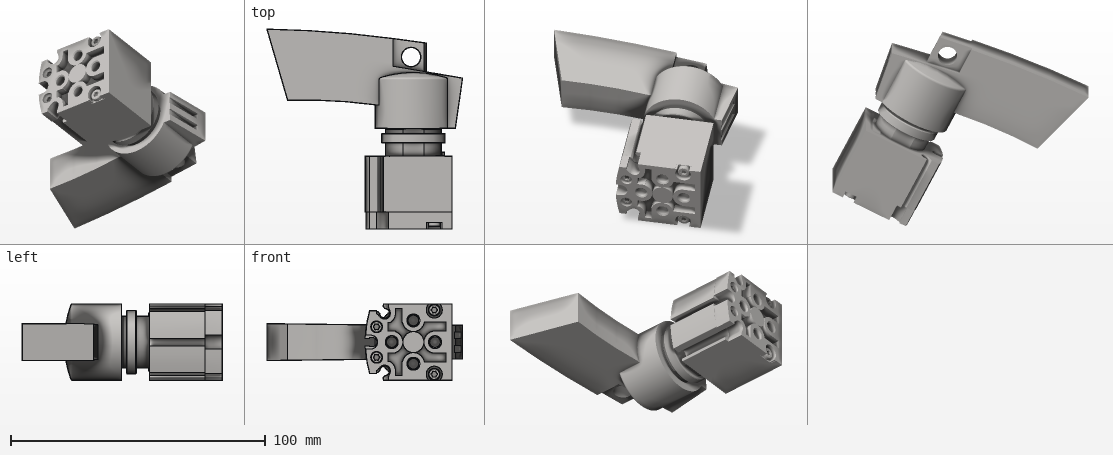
import cadquery as cq
import math


HALF_HEIGHT = 15.05
BLOCK_RIGHT = 15.17
CAP_DEPTH = 6.75
HOUSING_TOP = 28.65
LEVER_BASE = 39.55
GROOVE_CENTRE = 11.3
DIAGONAL = math.sqrt(0.5)

HOUSING_LEFT = -19.0
HOUSING_CORNER = (-17.2, 12.0)
HOUSING_GROOVE_RADIUS = 3.75 / 2
HOUSING_SLOT_HALF_WIDTH = 1.41
LIP_CORNER_X = -11.65
LIP_TIP = (-12.0, 14.1)
LIP_INNER = (-11.5, 13.5)
KEY_MOUTH_HALF_WIDTH = 1.5
KEY_RADIUS = 1.77
KEY_STEP_X = -17.2
KEY_CENTRE_X = -16.0

STOP_PLATE_LEFT = 8.9
STOP_PLATE_HALF_LENGTH = 11.4
STOP_PLATE_THICKNESS = 0.3
STOP_LEFT = 11.2
STOP_RIGHT = 12.3
STOP_HEIGHT = 1.6
STOP_HALF_WIDTH = 1.0

CAP_LEFT = -18.75
CAP_CORNER = (-17.2, 12.4)
CAP_LIP_TIP = (-9.87, 14.0)
CAP_LIP_INNER = (-9.2, 12.1)
CAP_GROOVE_RADIUS = 4.5 / 2
CAP_GROOVE_EDGE_X = -14.4
CAP_KEY_RADIUS = 2.72
CAP_KEY_CENTRE_X = -16.75

PORT_OFFSET = 8.5
PORT_DIAMETER = 4.2
PORT_CHAMFER = 0.45
BOSS_RADIUS = 4.37
HUB_RADIUS = 4.13
POCKET_DEPTH = 3.75
POCKET_GROOVE_WALL = 4.25
POCKET_LEFT = -10.0
POCKET_RIGHT = 12.9
POCKET_INNER_Z = 4.35
POCKET_OUTER_Z = 7.9
POCKET_LEFT_OUTER_Z = 7.6
POCKET_ARM_LEFT = -7.05
POCKET_ARM_RIGHT = -4.45
POCKET_ARM_TOP = 13.1

LEFT_SCREW = (-14.45, 6.0)
RIGHT_SCREW = (8.2, 12.6)
SCREW_HEAD_DIAMETER = 4.6
SCREW_SINK = 1.0
SCREW_HEAD_CHAMFER = 0.23
SOCKET_RADIUS = 1.05
SOCKET_LOBES = 6
SOCKET_LOBE_RADIUS = 0.25
SOCKET_DEPTH = 1.0
HEAD_CLEARANCE_RADIUS = 3.15
HEAD_CLEARANCE_DEPTH = 2.7
HEAD_SLOT_HALF_WIDTH = 2.4
HEAD_RELIEF_HALF_WIDTH = 3.1
HEAD_RELIEF_DEPTH = 0.1

NECK_RADIUS = 11.0
NECK_HALF_FLATS = 10.2
NECK_SHOULDER = 39.5
NECK_CHAMFER = 0.4
RING_DIAMETER = 25.0
RING_BOTTOM = 33.75
RING_TOP = 37.65
RING_CHAMFER = 0.3
SPIGOT_DIAMETER = 20.92
SPIGOT_LENGTH = 6.0

BARREL_EDGE = 59.3
BARREL_DOME_TOP = 62.1
BARREL_ROUNDING = 0.9
BARREL_BORE_DIAMETER = 23.6
BARREL_BORE_DEPTH = 2.0

ARM_TIP_TOP = (-57.55, 78.6)
ARM_TOP_MIDDLE = (-31.2, 77.35)
ARM_TIP_BOTTOM = (-49.4, 50.55)
ARM_UNDERSIDE_MIDDLE = (-32.3, 50.4)
ARM_ROOT_BOTTOM = (-15.0, 48.8)
ARM_STEP_X = -8.0
ARM_STEP_TOP = 74.9
ARM_TIP_HALF_THICKNESS = 7.29
ARM_ROOT_HALF_THICKNESS = 6.7

TAIL_STEP_TOP = 64.0
TAIL_TIP_TOP = (19.35, 59.35)
TAIL_TIP_BOTTOM = (16.5, LEVER_BASE)
TAIL_SLOT_LEFT = 16.1
TAIL_SLOT_RIGHT = 18.7
TAIL_SLOT_INNER = 1.4
TAIL_SLOT_OUTER = 4.0
TAIL_SLOT_TOP = 55.35

TAB_TOP_RIGHT_Y = 73.1
TAB_ROOT_Y = 55.0
TAB_HALF_THICKNESS = 4.3
TAB_UPPER_X = 4.2
TAB_LOWER_X = 5.2
TAB_DRAFT_DEPTH = 7.6
TAB_HOLE_CENTRE = (-0.9, 67.6)
TAB_HOLE_DIAMETER = 7.5


def plane_at(y):
    """Workplane square to Y: local axes are X and Z, positive extrusion is toward -Y."""
    return cq.Workplane("XZ", origin=(0, y, 0))


def cylinder(y0, y1, diameter, centre=(0, 0)):
    return plane_at(y0).center(*centre).circle(diameter / 2).extrude(y0 - y1)


def block(x0, x1, y0, y1, z0, z1):
    return cq.Workplane("XY").box(x1 - x0, y1 - y0, z1 - z0, centered=False).translate((x0, y0, z0))


def both_sides(solid):
    """The solid together with its mirror image below z = 0."""
    return solid.union(solid.mirror("XY"))


def symmetric_plate(upper, left_x, y0, y1):
    """Plate whose upper outline runs from right to left and closes with a bowed left side."""
    lower = [(x, -z) for x, z in reversed(upper)]
    outline = plane_at(y0).polyline(upper).threePointArc((left_x, 0), lower[0])
    for point in lower[1:]:
        outline = outline.lineTo(*point)
    return outline.close().extrude(y0 - y1)


def groove_wall(offset):
    """Point beside the groove centre, at the given offset square to the 45 degree slot."""
    shift = offset * DIAGONAL
    return (-GROOVE_CENTRE + shift, GROOVE_CENTRE + shift)


def corner_groove(radius, y0, y1):
    return both_sides(cylinder(y0, y1, 2 * radius, (-GROOVE_CENTRE, GROOVE_CENTRE)))


def housing_keyway():
    """Side groove with a narrow mouth and a round bottom."""
    mouth = block(HOUSING_LEFT, KEY_STEP_X, CAP_DEPTH, HOUSING_TOP,
                  -KEY_MOUTH_HALF_WIDTH, KEY_MOUTH_HALF_WIDTH)
    channel = block(KEY_STEP_X, KEY_CENTRE_X, CAP_DEPTH, HOUSING_TOP, -KEY_RADIUS, KEY_RADIUS)
    bottom = cylinder(CAP_DEPTH, HOUSING_TOP, 2 * KEY_RADIUS, (KEY_CENTRE_X, 0))
    return mouth.union(channel).union(bottom)


def make_housing():
    slot_sum = -2 * HOUSING_SLOT_HALF_WIDTH * DIAGONAL
    corner_x, corner_z = HOUSING_CORNER
    upper = [
        (BLOCK_RIGHT, HALF_HEIGHT),
        (LIP_CORNER_X, HALF_HEIGHT),
        LIP_TIP,
        LIP_INNER,
        groove_wall(HOUSING_SLOT_HALF_WIDTH),
        groove_wall(-HOUSING_SLOT_HALF_WIDTH),
        (slot_sum - corner_z, corner_z),
        (corner_x, corner_z),
    ]
    body = symmetric_plate(upper, HOUSING_LEFT, CAP_DEPTH, HOUSING_TOP)
    body = body.cut(corner_groove(HOUSING_GROOVE_RADIUS, CAP_DEPTH, HOUSING_TOP))
    body = body.cut(housing_keyway())
    plate = block(STOP_PLATE_LEFT, STOP_RIGHT, HOUSING_TOP, HOUSING_TOP + STOP_PLATE_THICKNESS,
                  -STOP_PLATE_HALF_LENGTH, STOP_PLATE_HALF_LENGTH)
    stop = block(STOP_LEFT, STOP_RIGHT, HOUSING_TOP, HOUSING_TOP + STOP_HEIGHT,
                 -STOP_HALF_WIDTH, STOP_HALF_WIDTH)
    return body.union(plate.union(stop).cut(neck_barrel()))


def cap_pockets():
    """The four front pockets, left clear of the port bosses, the hub and the corner grooves."""
    rounded_corner = (
        block(POCKET_LEFT, POCKET_ARM_LEFT, 0, POCKET_DEPTH, POCKET_LEFT_OUTER_Z, GROOVE_CENTRE)
        .cut(cylinder(0, POCKET_DEPTH, 2 * POCKET_GROOVE_WALL, (-GROOVE_CENTRE, GROOVE_CENTRE)))
    )
    left = (
        block(POCKET_LEFT, 0, 0, POCKET_DEPTH, POCKET_INNER_Z, POCKET_LEFT_OUTER_Z)
        .union(block(POCKET_ARM_LEFT, POCKET_ARM_RIGHT, 0, POCKET_DEPTH, 0, POCKET_ARM_TOP))
        .union(block(POCKET_ARM_LEFT, 0, 0, POCKET_DEPTH, 0, POCKET_LEFT_OUTER_Z))
        .union(rounded_corner)
    )
    right = (
        block(0, POCKET_RIGHT, 0, POCKET_DEPTH, POCKET_INNER_Z, POCKET_OUTER_Z)
        .union(block(0, PORT_OFFSET, 0, POCKET_DEPTH, 0, POCKET_INNER_Z))
    )
    pockets = left.union(right)
    pockets = pockets.cut(cylinder(0, POCKET_DEPTH, 2 * HUB_RADIUS))
    for centre in port_centres():
        pockets = pockets.cut(cylinder(0, POCKET_DEPTH, 2 * BOSS_RADIUS, centre))
    return both_sides(pockets)


def port_centres():
    return [(PORT_OFFSET, 0), (0, PORT_OFFSET), (-PORT_OFFSET, 0), (0, -PORT_OFFSET)]


def port(centre):
    hole = cylinder(0, CAP_DEPTH, PORT_DIAMETER, centre)
    mouth_radius = PORT_DIAMETER / 2 + PORT_CHAMFER
    mouth = cq.Solid.makeCone(
        mouth_radius, PORT_DIAMETER / 2, PORT_CHAMFER, cq.Vector(centre[0], 0, centre[1]), cq.Vector(0, 1, 0)
    )
    return hole.union(cq.Workplane(mouth))


def screw_socket(centre):
    """Six-lobed driver socket below the sunk screw face."""
    bottom = SCREW_SINK + SOCKET_DEPTH
    socket = cylinder(SCREW_SINK, bottom, 2 * SOCKET_RADIUS, centre)
    for index in range(SOCKET_LOBES):
        angle = 2 * math.pi * index / SOCKET_LOBES
        lobe_centre = (
            centre[0] + SOCKET_RADIUS * math.cos(angle),
            centre[1] + SOCKET_RADIUS * math.sin(angle),
        )
        socket = socket.union(cylinder(SCREW_SINK, bottom, 2 * SOCKET_LOBE_RADIUS, lobe_centre))
    return socket


def left_screw_recess():
    sink = cylinder(0, SCREW_SINK, SCREW_HEAD_DIAMETER, LEFT_SCREW).faces(">Y").chamfer(SCREW_HEAD_CHAMFER)
    return sink.union(screw_socket(LEFT_SCREW))


def right_screw_recess():
    """Round clearance around a screw head, open through the top of the cap."""
    x, z = RIGHT_SCREW
    clearance = cylinder(0, HEAD_CLEARANCE_DEPTH, 2 * HEAD_CLEARANCE_RADIUS, RIGHT_SCREW)
    slot = block(x - HEAD_SLOT_HALF_WIDTH, x + HEAD_SLOT_HALF_WIDTH, 0, HEAD_CLEARANCE_DEPTH, z, HALF_HEIGHT)
    relief = block(x - HEAD_RELIEF_HALF_WIDTH, x + HEAD_RELIEF_HALF_WIDTH, 0, HEAD_CLEARANCE_DEPTH,
                   HALF_HEIGHT - HEAD_RELIEF_DEPTH, HALF_HEIGHT)
    head = cylinder(SCREW_SINK, HEAD_CLEARANCE_DEPTH, SCREW_HEAD_DIAMETER, RIGHT_SCREW)
    head = head.faces("<Y").chamfer(SCREW_HEAD_CHAMFER)
    return clearance.union(slot).union(relief).cut(head).union(screw_socket(RIGHT_SCREW))


def make_cap():
    slot_sum = -2 * CAP_GROOVE_RADIUS * DIAGONAL
    upper = [
        (BLOCK_RIGHT, HALF_HEIGHT),
        (CAP_LIP_TIP[0], HALF_HEIGHT),
        CAP_LIP_TIP,
        CAP_LIP_INNER,
        (-GROOVE_CENTRE, GROOVE_CENTRE),
        groove_wall(-CAP_GROOVE_RADIUS),
        (CAP_GROOVE_EDGE_X, slot_sum - CAP_GROOVE_EDGE_X),
        (CAP_GROOVE_EDGE_X, CAP_CORNER[1]),
        CAP_CORNER,
    ]
    cap = symmetric_plate(upper, CAP_LEFT, 0, CAP_DEPTH)
    cap = cap.cut(corner_groove(CAP_GROOVE_RADIUS, 0, CAP_DEPTH))
    cap = cap.cut(cylinder(0, CAP_DEPTH, 2 * CAP_KEY_RADIUS, (CAP_KEY_CENTRE_X, 0)))
    cap = cap.cut(block(CAP_LEFT, CAP_KEY_CENTRE_X, 0, CAP_DEPTH, -CAP_KEY_RADIUS, CAP_KEY_RADIUS))
    cap = cap.cut(cap_pockets())
    for centre in port_centres():
        cap = cap.cut(port(centre))
    cap = cap.cut(both_sides(left_screw_recess()))
    return cap.cut(both_sides(right_screw_recess()))


def neck_barrel():
    barrel = cylinder(HOUSING_TOP, NECK_SHOULDER, 2 * NECK_RADIUS).faces(">Y").chamfer(NECK_CHAMFER)
    flats = block(-NECK_RADIUS, NECK_RADIUS, HOUSING_TOP, NECK_SHOULDER, -NECK_HALF_FLATS, NECK_HALF_FLATS)
    return barrel.intersect(flats)


def make_neck():
    ring = cylinder(RING_BOTTOM, RING_TOP, RING_DIAMETER).faces("<Y or >Y").chamfer(RING_CHAMFER)
    spigot = cylinder(NECK_SHOULDER, LEVER_BASE + SPIGOT_LENGTH, SPIGOT_DIAMETER)
    return neck_barrel().union(ring).union(spigot)


def lever_barrel():
    """Round barrel with a domed end."""
    dome_height = BARREL_DOME_TOP - BARREL_EDGE
    dome_radius = (HALF_HEIGHT**2 + dome_height**2) / (2 * dome_height)
    dome = cq.Workplane("XY").sphere(dome_radius).translate((0, BARREL_DOME_TOP - dome_radius, 0))
    barrel = cylinder(LEVER_BASE, BARREL_DOME_TOP, 2 * HALF_HEIGHT).intersect(dome)
    return barrel.edges("%CIRCLE and >Y").fillet(BARREL_ROUNDING)


def lever_arm():
    """Curved grip that thins toward the barrel."""
    outline = (
        cq.Workplane("XY", origin=(0, 0, -ARM_TIP_HALF_THICKNESS))
        .moveTo(*ARM_TIP_BOTTOM)
        .threePointArc(ARM_UNDERSIDE_MIDDLE, ARM_ROOT_BOTTOM)
        .lineTo(ARM_STEP_X, ARM_ROOT_BOTTOM[1])
        .lineTo(ARM_STEP_X, ARM_STEP_TOP)
        .threePointArc(ARM_TOP_MIDDLE, ARM_TIP_TOP)
        .close()
        .extrude(2 * ARM_TIP_HALF_THICKNESS)
    )
    wedge = (
        plane_at(0)
        .polyline([
            (ARM_TIP_TOP[0], ARM_TIP_HALF_THICKNESS),
            (ARM_STEP_X, ARM_ROOT_HALF_THICKNESS),
            (ARM_STEP_X, -ARM_ROOT_HALF_THICKNESS),
            (ARM_TIP_TOP[0], -ARM_TIP_HALF_THICKNESS),
        ])
        .close()
        .extrude(-ARM_TIP_TOP[1])
    )
    return outline.intersect(wedge)


def lever_tail():
    """Short plate past the barrel, with two slots in its sloped end."""
    tail = (
        cq.Workplane("XY", origin=(0, 0, -ARM_ROOT_HALF_THICKNESS))
        .polyline([(ARM_STEP_X, LEVER_BASE), TAIL_TIP_BOTTOM, TAIL_TIP_TOP, (ARM_STEP_X, TAIL_STEP_TOP)])
        .close()
        .extrude(2 * ARM_ROOT_HALF_THICKNESS)
    )
    slot = block(TAIL_SLOT_LEFT, TAIL_SLOT_RIGHT, LEVER_BASE, TAIL_SLOT_TOP,
                 TAIL_SLOT_INNER, TAIL_SLOT_OUTER)
    return tail.cut(both_sides(slot))


def lever_tab():
    """Thin lug with the padlock hole and a drafted end."""
    outline = (
        cq.Workplane("XY", origin=(0, 0, -TAB_HALF_THICKNESS))
        .polyline([
            (ARM_STEP_X, TAB_ROOT_Y),
            (TAB_LOWER_X, TAB_ROOT_Y),
            (TAB_LOWER_X, TAB_TOP_RIGHT_Y),
            (ARM_STEP_X, ARM_STEP_TOP),
        ])
        .close()
        .extrude(2 * TAB_HALF_THICKNESS)
    )
    draft = (
        plane_at(0)
        .polyline([
            (TAB_UPPER_X, TAB_HALF_THICKNESS),
            (TAB_LOWER_X, TAB_HALF_THICKNESS),
            (TAB_LOWER_X, TAB_HALF_THICKNESS - TAB_DRAFT_DEPTH),
        ])
        .close()
        .extrude(-ARM_TIP_TOP[1])
    )
    return outline.cut(draft)


def make_lever():
    lever = lever_arm().union(lever_tail()).union(lever_tab()).union(lever_barrel())
    hole = (
        cq.Workplane("XY", origin=(0, 0, -HALF_HEIGHT))
        .center(*TAB_HOLE_CENTRE)
        .circle(TAB_HOLE_DIAMETER / 2)
        .extrude(2 * HALF_HEIGHT)
    )
    bore = cylinder(LEVER_BASE, LEVER_BASE + BARREL_BORE_DEPTH, BARREL_BORE_DIAMETER)
    socket = cylinder(LEVER_BASE, LEVER_BASE + SPIGOT_LENGTH, SPIGOT_DIAMETER)
    return lever.cut(hole).cut(bore).cut(socket)


housing = make_housing()
cap = make_cap()
neck = make_neck()
lever = make_lever()

result = cq.Compound.makeCompound([housing.val(), cap.val(), neck.val(), lever.val()])